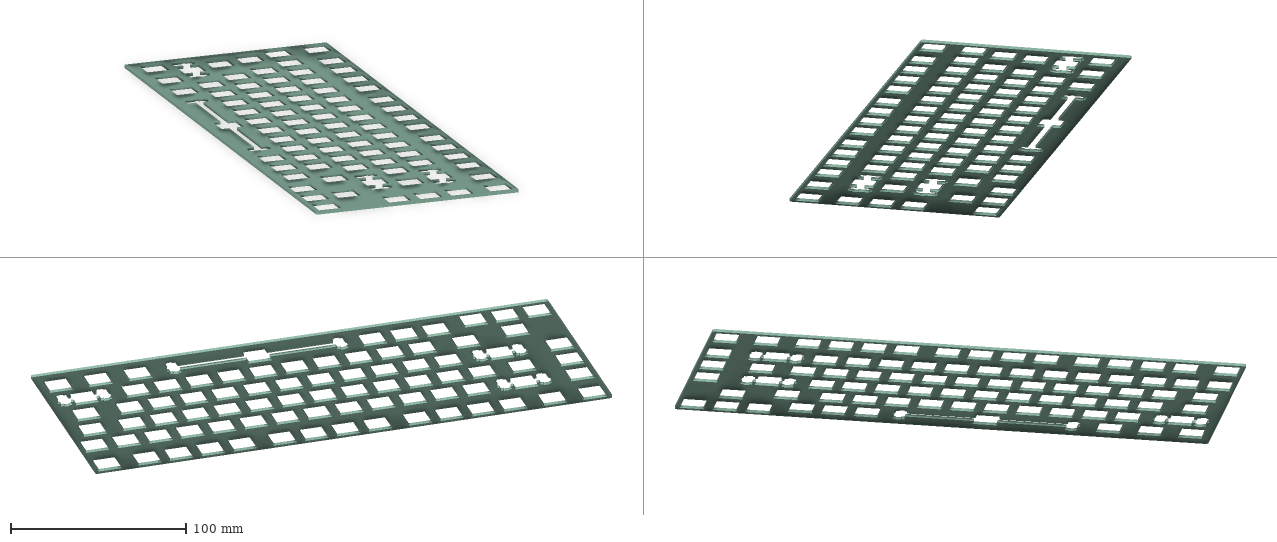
import cadquery as cq

plate_length = 309.5
plate_columns = 16.25
plate_rows = 6.5
key_pitch = plate_length / plate_columns
plate_width = plate_rows * key_pitch
plate_thickness = 1.6
corner_radius = 1.2

switch_side = 14.0

stab_spacing = 23.8
long_stab_spacing = 100.0
stab_width = 6.8
stab_top = 5.5
stab_bottom = -6.8
tab_width = 3.5
tab_depth = 1.0
notch_depth = 0.85
notch_top = 2.3
notch_bottom = -0.5
wire_slot_height = 4.5


def run(first, count):
    """Centres of adjacent one-unit keys, in key units."""
    return [first + step for step in range(count)]


right_column = 15.75
key_rows = [
    (0.5, [0.5] + run(1.75, 4) + run(6.0, 4) + run(10.25, 4) + [14.5, right_column]),
    (1.75, run(0.5, 13) + [right_column]),
    (2.75, [0.75] + run(2.0, 12) + [14.25, right_column]),
    (3.75, [0.875] + run(2.25, 11) + [right_column]),
    (4.75, run(2.75, 10) + [13.125]),
    (5.0, [14.75]),
    (5.75, [0.625, 1.875, 3.125] + run(10.5, 3)),
    (6.0, run(13.75, 3)),
]

wide_keys = [
    (14.0, 1.75, stab_spacing),
    (13.875, 3.75, stab_spacing),
    (1.125, 4.75, stab_spacing),
    (6.875, 5.75, long_stab_spacing),
]


def key_centre(column, row):
    """Convert a key position in key units to plate coordinates."""
    return (column * key_pitch - plate_length / 2, plate_width / 2 - row * key_pitch)


def block(left, right, bottom, top):
    """Cutting block through the full plate thickness."""
    return (
        cq.Workplane("XY")
        .center((left + right) / 2, (bottom + top) / 2)
        .rect(right - left, top - bottom)
        .extrude(plate_thickness)
    )


def stabilizer_cutter(spacing):
    """Switch opening joined by a wire slot to a housing opening on each side."""
    half_spacing = spacing / 2
    cutter = block(-switch_side / 2, switch_side / 2, -switch_side / 2, switch_side / 2)
    cutter = cutter.union(block(-half_spacing, half_spacing, -wire_slot_height / 2, wire_slot_height / 2))
    tab_bottom = stab_bottom - tab_depth
    tab_top = stab_top + tab_depth
    for side in (-1, 1):
        middle = side * half_spacing
        outer = middle + side * (stab_width / 2 + notch_depth)
        housing = block(middle - stab_width / 2, middle + stab_width / 2, stab_bottom, stab_top)
        tabs = block(middle - tab_width / 2, middle + tab_width / 2, tab_bottom, tab_top)
        notch = block(min(middle, outer), max(middle, outer), notch_bottom, notch_top)
        cutter = cutter.union(housing).union(tabs).union(notch)
    return cutter


plate = (
    cq.Workplane("XY")
    .rect(plate_length, plate_width)
    .extrude(plate_thickness)
    .edges("|Z")
    .fillet(corner_radius)
)

switch_centres = [key_centre(column, row) for row, columns in key_rows for column in columns]
switch_cutters = (
    cq.Workplane("XY").pushPoints(switch_centres).rect(switch_side, switch_side).extrude(plate_thickness)
)
plate = plate.cut(switch_cutters)

for column, row, spacing in wide_keys:
    x, y = key_centre(column, row)
    plate = plate.cut(stabilizer_cutter(spacing).translate((x, y, 0)))

result = plate